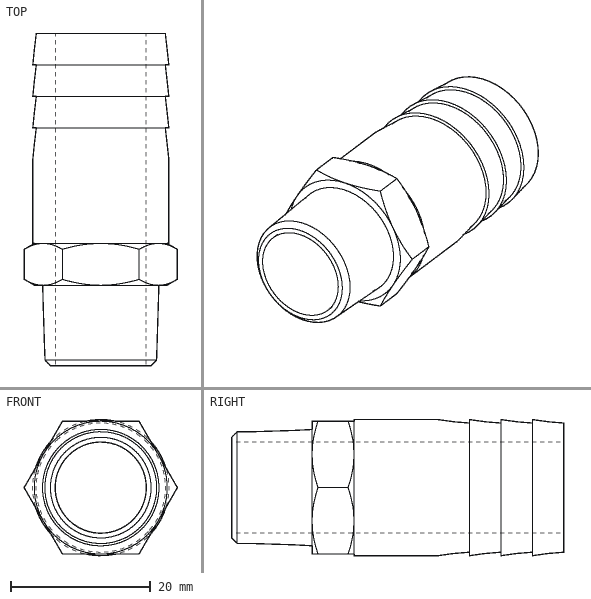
import cadquery as cq
import math


pipe_length = 11.5
pipe_base_diameter = 16.662
pipe_taper = 1 / 16
pipe_chamfer = 0.8

hex_flats = 19.0
hex_length = 6.0
hex_chamfer_angle = 30

shank_diameter = 19.5
shank_length = 12.0
barb_root_diameter = 18.5
barb_length = 4.5
barb_count = 4

bore_diameter = 13.0

hex_start = pipe_length
hex_end = hex_start + hex_length
barbs_start = hex_end + shank_length
total_length = barbs_start + barb_count * barb_length
hex_corners = hex_flats / math.cos(math.radians(30))


def revolve_about_y(profile_points):
    """Solid of revolution about Y from (radius, y) points."""
    profile = cq.Workplane("XY").polyline(profile_points).close()
    return profile.revolve(360, (0, 0, 0), (0, 1, 0))


def make_pipe_end():
    """Tapered pipe stub with a 45 degree lead-in chamfer at its mouth."""
    base_radius = pipe_base_diameter / 2
    taper_length = pipe_length - pipe_chamfer
    tip_radius = base_radius - taper_length * pipe_taper / 2
    return revolve_about_y([
        (0, 0),
        (tip_radius - pipe_chamfer, 0),
        (tip_radius, pipe_chamfer),
        (base_radius, pipe_length),
        (0, pipe_length),
    ])


def make_hexagon():
    """Hexagon with corners on X, its corners turned down conically at both ends."""
    prism = (
        cq.Workplane("XZ", origin=(0, hex_end, 0))
        .polygon(6, hex_corners)
        .extrude(hex_length)
    )
    face_radius = hex_flats / 2
    corner_radius = hex_corners / 2
    chamfer_height = (corner_radius - face_radius) * math.tan(math.radians(hex_chamfer_angle))
    turned_envelope = revolve_about_y([
        (0, hex_start),
        (face_radius, hex_start),
        (corner_radius, hex_start + chamfer_height),
        (corner_radius, hex_end - chamfer_height),
        (face_radius, hex_end),
        (0, hex_end),
    ])
    return prism.intersect(turned_envelope)


def make_hose_end():
    """Plain shank followed by barbs that narrow toward the hose mouth."""
    shank_radius = shank_diameter / 2
    root_radius = barb_root_diameter / 2
    points = [(0, hex_end), (shank_radius, hex_end)]
    for index in range(barb_count):
        barb_start = barbs_start + index * barb_length
        points.append((shank_radius, barb_start))
        points.append((root_radius, barb_start + barb_length))
    points.append((0, total_length))
    return revolve_about_y(points)


def make_bore():
    """Straight bore through the full length."""
    return (
        cq.Workplane("XZ", origin=(0, total_length, 0))
        .circle(bore_diameter / 2)
        .extrude(total_length)
    )


result = make_pipe_end().union(make_hexagon()).union(make_hose_end()).cut(make_bore())